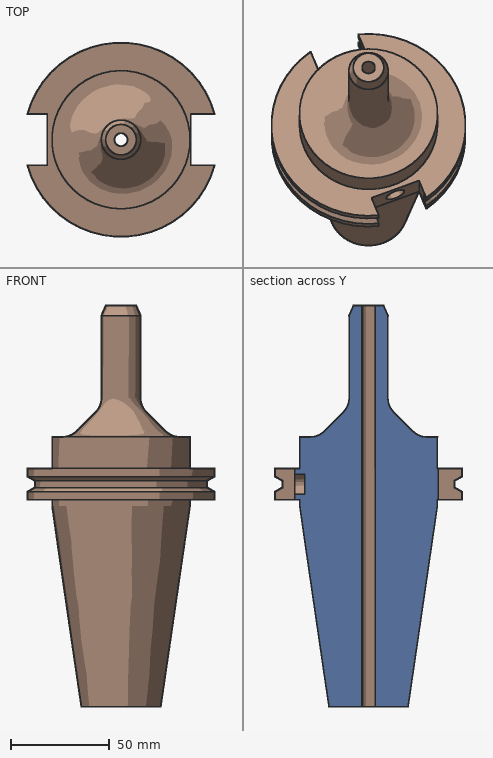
import cadquery as cq
import math

total_height = 203.2
taper_height = 101.5
flange_bottom = 104.9
flange_top = 120.7
boss_top = 136.8

gauge_radius = 35.0
taper_ratio = 7 / 24
taper_small_radius = gauge_radius - taper_height * taper_ratio / 2

flange_radius = 49.2
groove_floor_radius = 45.5
groove_floor_width = 3.5
groove_flank_angle = 30.0
flange_middle = (flange_bottom + flange_top) / 2
groove_floor_half = groove_floor_width / 2
groove_flank_rise = (flange_radius - groove_floor_radius) * math.tan(math.radians(groove_flank_angle))
groove_mouth_half = groove_floor_half + groove_flank_rise

boss_radius = 35.0
nose_radius = 10.0
nose_tip_radius = 7.7
nose_chamfer_height = 5.0
cone_height = 15.5
cone_angle = math.radians(45)
blend_radius = 10.0
cone_base_radius = nose_radius + cone_height / math.tan(cone_angle)

bore_radius = 3.3
slot_width = 25.8
left_slot_floor = 37.4
right_slot_floor = 35.4
blind_hole_radius = 4.9
blind_hole_depth = 5.0


def make_body():
    """Revolve the half profile; the cone blends into nose and boss with tangent arcs."""
    tangent = blend_radius * math.tan(cone_angle / 2)
    tangent_step = tangent * math.sin(cone_angle)
    cone_top = boss_top + cone_height
    cone_low_end = (cone_base_radius - tangent_step, boss_top + tangent_step)
    cone_high_end = (nose_radius + tangent_step, cone_top - tangent_step)

    profile = (
        cq.Workplane("XZ")
        .moveTo(0, 0)
        .lineTo(taper_small_radius, 0)
        .lineTo(gauge_radius, taper_height)
        .lineTo(gauge_radius, flange_bottom)
        .lineTo(flange_radius, flange_bottom)
        .lineTo(flange_radius, flange_middle - groove_mouth_half)
        .lineTo(groove_floor_radius, flange_middle - groove_floor_half)
        .lineTo(groove_floor_radius, flange_middle + groove_floor_half)
        .lineTo(flange_radius, flange_middle + groove_mouth_half)
        .lineTo(flange_radius, flange_top)
        .lineTo(boss_radius, flange_top)
        .lineTo(boss_radius, boss_top)
        .lineTo(cone_base_radius + tangent, boss_top)
        .radiusArc(cone_low_end, blend_radius)
        .lineTo(*cone_high_end)
        .radiusArc((nose_radius, cone_top + tangent), blend_radius)
        .lineTo(nose_radius, total_height - nose_chamfer_height)
        .lineTo(nose_tip_radius, total_height)
        .lineTo(0, total_height)
        .close()
    )
    return profile.revolve(360, (0, 0, 0), (0, 1, 0))


def make_slot(floor, side):
    """Drive slot through the flange rim; side is -1 for -X and +1 for +X."""
    depth = flange_radius - floor
    slot_centre = side * (floor + depth / 2)
    return (
        cq.Workplane("XY", origin=(slot_centre, 0, flange_bottom))
        .rect(depth, slot_width)
        .extrude(flange_top - flange_bottom)
    )


def make_bore():
    """Coolant bore through the full length."""
    return cq.Workplane("XY").circle(bore_radius).extrude(total_height)


def make_blind_hole():
    """Round blind hole in the floor of the -X slot."""
    return (
        cq.Workplane("YZ", origin=(-left_slot_floor, 0, flange_middle))
        .circle(blind_hole_radius)
        .extrude(blind_hole_depth)
    )


result = (
    make_body()
    .cut(make_slot(left_slot_floor, -1))
    .cut(make_slot(right_slot_floor, 1))
    .cut(make_bore())
    .cut(make_blind_hole())
)